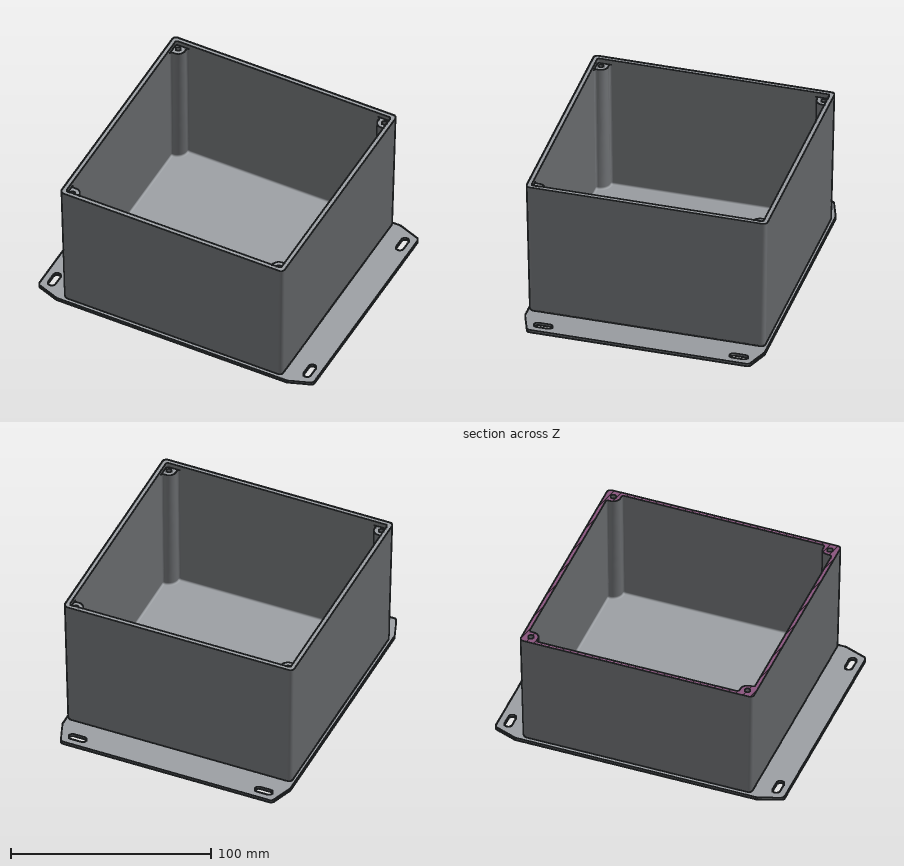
import cadquery as cq
import math

plate_length = 154.2
box_side = 125.0
total_height = 76.5
draft_angle = 1.0
draft = math.tan(math.radians(draft_angle))

plate_thickness = 1.5
plate_width = 124.3
ear_shoulder_x = 64.6
ear_taper_angle = 20.0
ear_corner_radius = 2.0
slot_x = 71.5
slot_y = 50.7
slot_length = 9.5
slot_width = 4.0

wall_thickness = 2.3
outer_corner_radius = 2.2
inner_corner_radius = 1.1
base_edge_radius = 2.0
floor_level = 3.7
floor_fillet = 1.1

boss_offset = 57.8
boss_top_radius = 3.7
boss_recess = 2.6
boss_top_level = total_height - boss_recess
boss_blend_radius = 1.1
screw_hole_diameter = 2.6
screw_hole_depth = 15.4
drill_tip_angle = 118.0

cavity_side = box_side - 2 * wall_thickness
corner_signs = [(sx, sy) for sx in (-1, 1) for sy in (-1, 1)]


def narrowed(side, drop):
    """Side of a drafted square at a given drop below its widest section."""
    return side - 2 * drop * draft


def rounded_square(side, radius, level):
    """Flat square with rounded corners at a given height."""
    square = cq.Sketch().rect(side, side).vertices().fillet(radius)
    return square.moved(cq.Location(cq.Vector(0, 0, level)))


def drafted_block(top_side, radius, bottom_level):
    """Square block that reaches the rim and narrows downwards."""
    bottom_side = narrowed(top_side, total_height - bottom_level)
    lower = rounded_square(bottom_side, radius, bottom_level)
    upper = rounded_square(top_side, radius, total_height)
    return cq.Workplane("XY").placeSketch(lower, upper).loft()


def make_plate():
    """Flat plate with tapered ears and a slot near each corner."""
    ear_drop = (plate_length / 2 - ear_shoulder_x) * math.tan(math.radians(ear_taper_angle))
    half_length = plate_length / 2
    half_width = plate_width / 2
    ear_end_y = half_width - ear_drop
    plate = (
        cq.Workplane("XY")
        .moveTo(-half_length, -ear_end_y)
        .lineTo(-ear_shoulder_x, -half_width)
        .lineTo(ear_shoulder_x, -half_width)
        .lineTo(half_length, -ear_end_y)
        .lineTo(half_length, ear_end_y)
        .lineTo(ear_shoulder_x, half_width)
        .lineTo(-ear_shoulder_x, half_width)
        .lineTo(-half_length, ear_end_y)
        .close()
        .extrude(plate_thickness)
    )
    plate = plate.edges("|Z and (<X or >X)").fillet(ear_corner_radius)
    slots = (
        cq.Workplane("XY")
        .pushPoints([(sx * slot_x, sy * slot_y) for sx, sy in corner_signs])
        .slot2D(slot_length, slot_width, 90)
        .extrude(plate_thickness)
    )
    return plate.cut(slots)


def boss_section(radius, level):
    """Round-nosed boss outline about its axis, blended into the two walls beside it."""
    wall = narrowed(cavity_side, total_height - level) / 2 - boss_offset
    reach = box_side / 2 - boss_offset
    nose = -radius * math.sqrt(0.5)
    flare = -radius - boss_blend_radius
    blend_start = wall - boss_blend_radius
    blend_x = blend_start + boss_blend_radius * math.sqrt(0.5)
    blend_y = flare + boss_blend_radius * math.sqrt(0.5)
    return (
        cq.Workplane("XY", origin=(0, 0, level))
        .moveTo(-radius, 0)
        .threePointArc((nose, nose), (0, -radius))
        .lineTo(blend_start, -radius)
        .threePointArc((blend_x, blend_y), (wall, flare))
        .lineTo(reach, flare)
        .lineTo(reach, reach)
        .lineTo(flare, reach)
        .lineTo(flare, wall)
        .threePointArc((blend_y, blend_x), (-radius, blend_start))
        .close()
        .wire()
        .val()
    )


def make_boss():
    """Drafted corner boss, widest at the floor."""
    base_radius = boss_top_radius + (boss_top_level - floor_level) * draft
    lower = boss_section(base_radius, floor_level)
    upper = boss_section(boss_top_radius, boss_top_level)
    boss = cq.Solid.makeLoft([lower, upper], True)
    return cq.Workplane(boss).translate((boss_offset, boss_offset, 0))


def at_each_corner(shape):
    """Copy a shape into all four corners of the box."""
    mirrored = shape.union(shape.mirror("YZ"))
    return mirrored.union(mirrored.mirror("XZ"))


def make_cavity():
    """Inside space of the box, already relieved around the bosses."""
    cavity = drafted_block(cavity_side, inner_corner_radius, floor_level)
    cavity = cavity.cut(at_each_corner(make_boss()))
    return cavity.faces("<Z").edges().fillet(floor_fillet)


def make_box():
    """Open box standing on the plate."""
    box = drafted_block(box_side, outer_corner_radius, plate_thickness)
    box = box.faces("<Z").edges().fillet(base_edge_radius)
    return box.cut(make_cavity())


def make_screw_hole():
    """Blind drilled hole with a conical tip."""
    radius = screw_hole_diameter / 2
    tip_depth = radius / math.tan(math.radians(drill_tip_angle / 2))
    hole = (
        cq.Workplane("XZ")
        .lineTo(radius, 0)
        .lineTo(radius, -screw_hole_depth)
        .lineTo(0, -screw_hole_depth - tip_depth)
        .close()
        .revolve(360, (0, 0), (0, 1))
    )
    return hole.translate((boss_offset, boss_offset, boss_top_level))


result = make_box().union(make_plate()).cut(at_each_corner(make_screw_hole()))